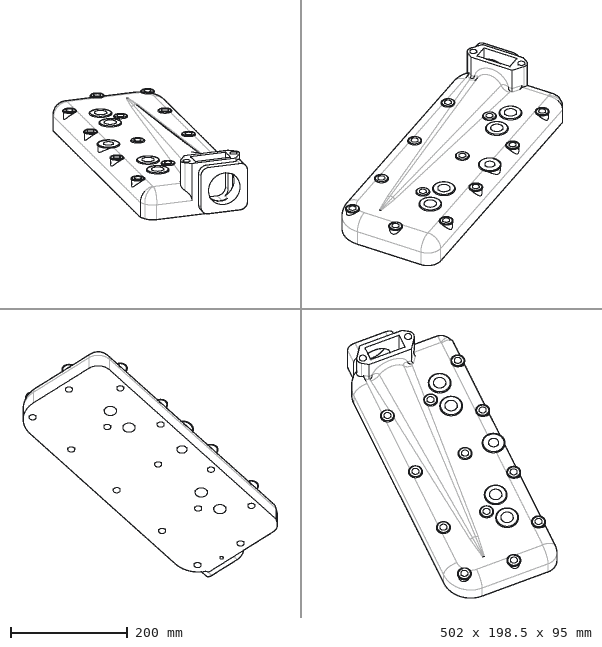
import cadquery as cq
import math

body_length = 490.0
body_width = 198.5
body_height = 51.5
right_x = body_length / 2
left_x = -right_x

front_radius = 25.0
rear_radius = 50.0
blend_radius = 20.0
blend_center_y = 22.5
top_fillet = 24.5

boss_height = 1.5
pad_z = body_height + boss_height
bolt_radius = 6.0
bolt_boss_radius = 10.5

corner_bolt = (220.5, 171.0)
side_bolt = (229.5, 82.5)
inner_bolt_x = 121.5
rear_bolt_y = 167.0
middle_bolt_y = 87.0
center_bolt_y = 75.0
front_bolt_y = 13.0
front_bolt_xs = (67.5, 175.5)

plug_spacing = 49.5
plug_y = 59.5
plug_hole_radius = 10.5
plug_boss_radius = 18.0

stud_y = 21.5
stud_hole_radius = 8.5
stud_boss_radius = 18.0

tower_left_x = 204.5
tower_top = 95.0
tower_front_y = 87.0
tower_rear_y = 166.0
tower_lobe_radius = 10.5
tower_fillet = 4.0

collar_radius = 7.5
collar_steps = 2
ridge_y = 127.0
ridge_tip_x = -202.0
ridge_knee_x = -160.5
ridge_end_x = tower_left_x - collar_radius
ridge_height = 23.5
tip_height = 0.15
tip_half_width = 1.5
knee_half_width = 7.5
ridge_half_width = 38.5
crown_center = -2.0
ridge_root = 5.0

flange_thickness = 502 - body_length
flange_depth = 15.0
flange_size = 85.0
flange_corner_radius = 14.0
flange_y = 141.0
flange_z = 46.0
port_radius = 28.5

pocket_x = (212.5, 238.0)
pocket_y = (95.5, 159.0)
pocket_floor = 17.0
pocket_floor_radius = 15.0
drain_x = 234.0
drain_y = 128.5
drain_radius = 3.0


def cylinder(x, y, radius, z_low, z_high):
    return cq.Workplane("XY", origin=(x, y, z_low)).circle(radius).extrude(z_high - z_low)


def tangent_point(corner, center, radius, side):
    """Touch point on a circle of the line from corner; side +1 or -1 picks which one."""
    dx = corner[0] - center[0]
    dy = corner[1] - center[1]
    angle = math.atan2(dy, dx) + side * math.acos(radius / math.hypot(dx, dy))
    return (center[0] + radius * math.cos(angle), center[1] + radius * math.sin(angle))


def make_body():
    diagonal = math.sqrt(0.5)
    blend_center = (right_x - blend_radius, blend_center_y)
    ease_start = (right_x - blend_radius, 0)
    ease_end = tangent_point(ease_start, blend_center, blend_radius, 1)
    ease_angle = math.atan2(ease_end[1] - blend_center[1], ease_end[0] - blend_center[0]) / 2
    ease_middle = (
        blend_center[0] + blend_radius * math.cos(ease_angle),
        blend_center[1] + blend_radius * math.sin(ease_angle),
    )
    rear_inset = rear_radius * (1 - diagonal)
    front_inset = front_radius * (1 - diagonal)
    outline = (
        cq.Workplane("XY")
        .moveTo(left_x + front_radius, 0)
        .lineTo(*ease_start)
        .lineTo(*ease_end)
        .threePointArc(ease_middle, (right_x, blend_center_y))
        .lineTo(right_x, body_width - rear_radius)
        .threePointArc((right_x - rear_inset, body_width - rear_inset), (right_x - rear_radius, body_width))
        .lineTo(left_x + rear_radius, body_width)
        .threePointArc((left_x + rear_inset, body_width - rear_inset), (left_x, body_width - rear_radius))
        .lineTo(left_x, front_radius)
        .threePointArc((left_x + front_inset, front_inset), (left_x + front_radius, 0))
        .close()
    )
    return outline.extrude(body_height).faces(">Z").edges().fillet(top_fillet)


def interpolate(x, start, end):
    """Value at x on the straight line through two (x, value) points."""
    return start[1] + (end[1] - start[1]) * (x - start[0]) / (end[0] - start[0])


def ridge_section(x, growth=0):
    """Closed ridge profile at x: round crown, hollow flanks that fade into the deck.

    Growth swells the crown without widening the foot.
    """
    height = interpolate(x, (ridge_tip_x, tip_height), (ridge_end_x, ridge_height))
    knee = (ridge_knee_x, knee_half_width)
    if x < ridge_knee_x:
        half_width = interpolate(x, (ridge_tip_x, tip_half_width), knee)
    else:
        half_width = interpolate(x, knee, (ridge_end_x, ridge_half_width))
    crown_radius = height - crown_center + growth

    flank_radius = (half_width**2 + crown_center**2 - crown_radius**2) / (2 * (crown_radius + crown_center))
    flank_angle = math.asin(half_width / (crown_radius + flank_radius))

    def flank(angle):
        return (half_width - flank_radius * math.sin(angle), flank_radius * (1 - math.cos(angle)))

    join_y, join_z = flank(flank_angle)
    hollow_y, hollow_z = flank(flank_angle / 2)
    return (
        cq.Workplane("YZ", origin=(x, ridge_y, body_height))
        .moveTo(-half_width, -ridge_root)
        .lineTo(-half_width, 0)
        .threePointArc((-hollow_y, hollow_z), (-join_y, join_z))
        .threePointArc((0, crown_center + crown_radius), (join_y, join_z))
        .threePointArc((hollow_y, hollow_z), (half_width, 0))
        .lineTo(half_width, -ridge_root)
        .close()
        .wire()
        .val()
    )


def make_ridge():
    sections = [ridge_section(x) for x in (ridge_tip_x, ridge_knee_x, ridge_end_x)]
    return cq.Workplane(cq.Solid.makeLoft(sections, True))


def make_collar():
    """Quarter-round flare where the ridge runs into the tower."""
    sections = []
    for step in range(collar_steps + 1):
        angle = math.pi / 2 * step / collar_steps
        x = ridge_end_x + collar_radius * math.sin(angle)
        sections.append(ridge_section(x, collar_radius * (1 - math.cos(angle))))
    return cq.Workplane(cq.Solid.makeLoft(sections))


def make_tower():
    """Block with a rounded lobe around the bolt at each end."""
    left_rear = (tower_left_x, tower_rear_y)
    left_front = (tower_left_x, tower_front_y)
    right_rear = (right_x, tower_rear_y)
    right_front = (right_x, tower_front_y)
    outline = (
        cq.Workplane("XY")
        .moveTo(*left_rear)
        .lineTo(*tangent_point(left_rear, corner_bolt, tower_lobe_radius, -1))
        .threePointArc(
            (corner_bolt[0], corner_bolt[1] + tower_lobe_radius),
            tangent_point(right_rear, corner_bolt, tower_lobe_radius, 1),
        )
        .lineTo(*right_rear)
        .lineTo(*right_front)
        .lineTo(*tangent_point(right_front, side_bolt, tower_lobe_radius, -1))
        .threePointArc(
            (side_bolt[0], side_bolt[1] - tower_lobe_radius),
            tangent_point(left_front, side_bolt, tower_lobe_radius, 1),
        )
        .lineTo(*left_front)
        .close()
    )
    return outline.extrude(tower_top)


def make_skirt():
    """Fillet around the foot of the tower, on the level part of the deck."""
    deck = cq.Workplane("XY").box(3 * flange_size, 2 * body_width, body_height, centered=(True, True, False))
    deck = deck.translate((right_x, body_width / 2, 0))
    foot = (
        deck.union(make_tower())
        .edges(cq.selectors.BoxSelector(
            (tower_left_x - 5, 0, body_height - 0.5),
            (right_x + 5, body_width, body_height + 0.5),
        ))
        .fillet(tower_fillet)
    )
    level_min = (tower_left_x - tower_fillet, tower_front_y - bolt_boss_radius, body_height - tower_fillet)
    level_max = (right_x - top_fillet, body_width - top_fillet, body_height + tower_fillet)
    level_area = cq.Workplane(cq.Solid.makeBox(
        *(high - low for low, high in zip(level_min, level_max)),
        cq.Vector(*level_min),
    ))
    return foot.intersect(level_area)


def make_flange():
    return (
        cq.Workplane("YZ", origin=(right_x - flange_depth, flange_y, flange_z))
        .rect(flange_size, flange_size)
        .extrude(flange_thickness + flange_depth)
        .edges("|X")
        .fillet(flange_corner_radius)
    )


def bolt_points():
    points = [(0, rear_bolt_y), (0, center_bolt_y)]
    for side in (-1, 1):
        points += [(side * x, front_bolt_y) for x in front_bolt_xs]
        points += [(side * inner_bolt_x, y) for y in (rear_bolt_y, middle_bolt_y)]
    points += [(-x, y) for x, y in (corner_bolt, side_bolt)]
    return points


def tower_bolt_points():
    return [corner_bolt, side_bolt]


def plug_points():
    return [
        (pair * inner_bolt_x + side * plug_spacing / 2, plug_y)
        for pair in (-1, 1)
        for side in (-1, 1)
    ]


def make_boss(x, y, radius):
    """Round pad, flared at deck level."""
    flare = cq.Workplane("XY", origin=(x, y, body_height)).circle(radius + boss_height)
    flare = flare.workplane(offset=boss_height).circle(radius).loft()
    return cylinder(x, y, radius, body_height - top_fillet, pad_z).union(flare)


def make_passage():
    """Slot in the tower, round outlet port and drain hole."""
    slot = (
        cq.Workplane("XY")
        .box(
            pocket_x[1] - pocket_x[0],
            pocket_y[1] - pocket_y[0],
            tower_top - pocket_floor,
            centered=False,
        )
        .translate((pocket_x[0], pocket_y[0], pocket_floor))
        .edges("|X and >Y and <Z")
        .fillet(pocket_floor_radius)
    )
    middle_x = sum(pocket_x) / 2
    port = cq.Workplane("YZ", origin=(middle_x, flange_y, flange_z)).circle(port_radius).extrude(right_x)
    drain = cylinder(drain_x, drain_y, drain_radius, 0, tower_top)
    return slot.union(port).union(drain)


result = (
    make_body()
    .union(make_ridge())
    .union(make_collar())
    .union(make_tower())
    .union(make_flange())
    .union(make_skirt())
)

boss_groups = (
    (bolt_points(), bolt_boss_radius, bolt_radius),
    (plug_points(), plug_boss_radius, plug_hole_radius),
    ([(0, stud_y)], stud_boss_radius, stud_hole_radius),
)
for points, boss_radius, hole_radius in boss_groups:
    for x, y in points:
        result = result.union(make_boss(x, y, boss_radius))
    for x, y in points:
        result = result.cut(cylinder(x, y, hole_radius, 0, tower_top))

for x, y in tower_bolt_points():
    result = result.cut(cylinder(x, y, bolt_radius, 0, tower_top))
result = result.cut(make_passage())